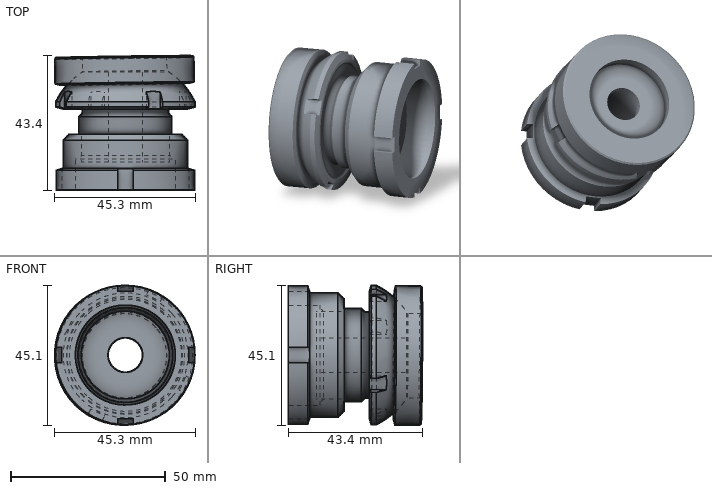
import cadquery as cq
import math


RIM_RADIUS = 22.47
NOTCH_WIDTH = 5.0
NOTCH_DEPTH = 2.0
NOTCH_COUNT = 4
THROUGH_HOLE_RADIUS = 5.55
BEVEL_HEIGHT = 0.7
BEVEL_WIDTH = 2.45

BASE_HEIGHT = 18.05
BASE_FLANGE_HEIGHT = 7.02
BARREL_RADIUS = 20.1
BARREL_CHAMFER = 2.05
COUNTERBORE_RADIUS = 16.15
COUNTERBORE_DEPTH = 10.15
BORE_RADIUS = 14.2
BORE_CHAMFER = 1.15

SPINDLE_START = 9.05
STEM_RADIUS = 15.05
STEM_CHAMFER_START = 23.6
NECK_RADIUS = 13.95
HEAD_START = 26.1
HEAD_RECESS_RADIUS = 19.05
HEAD_RECESS_DEPTH = 0.8
HEAD_RIM_END = 28.4
HEAD_TOP = 38.05
HEAD_NOTCH_END = 31.85
HEAD_NOTCH_ANGLE = 26.0
GROOVE_FILLET = 0.55

SPHERE_RADIUS = 25.0
SPHERE_CENTER = HEAD_RIM_END - math.sqrt(SPHERE_RADIUS**2 - RIM_RADIUS**2)

CAP_START = 34.1
CAP_THICKNESS = 8.93
CAP_HOLE_RADIUS = 13.6
CAP_TOP_CHAMFER = 0.5
CAP_BEVEL_HEIGHT = 0.45
CAP_BEVEL_WIDTH = 1.68
CAP_TILT_X = -0.35
CAP_TILT_Z = 0.8


def sphere_section_radius(y):
    """Radius of the spherical seat at station y."""
    return math.sqrt(SPHERE_RADIUS**2 - (y - SPHERE_CENTER) ** 2)


def spin(outline):
    """Revolve an outline of (radius, y) points about the Y axis."""
    return outline.close().revolve(360, (0, 0, 0), (0, 1, 0))


def cut_rim_notches(body, start, end, first_angle):
    """Cut equally spaced flat-bottomed notches into the rim between two stations."""
    floor_radius = RIM_RADIUS - NOTCH_DEPTH
    cutter_height = 2 * NOTCH_DEPTH
    for index in range(NOTCH_COUNT):
        cutter = (
            cq.Workplane("XY")
            .box(NOTCH_WIDTH, end - start, cutter_height, centered=(True, False, False))
            .translate((0, start, floor_radius))
            .rotate((0, 0, 0), (0, 1, 0), first_angle + index * 360 / NOTCH_COUNT)
        )
        body = body.cut(cutter)
    return body


def make_base():
    """Notched flange and barrel with a counterbored central hole."""
    outline = cq.Workplane("XY").polyline([
        (COUNTERBORE_RADIUS, 0),
        (RIM_RADIUS, 0),
        (RIM_RADIUS, BASE_FLANGE_HEIGHT - BEVEL_HEIGHT),
        (BARREL_RADIUS, BASE_FLANGE_HEIGHT),
        (BARREL_RADIUS, BASE_HEIGHT - BARREL_CHAMFER),
        (BARREL_RADIUS - BARREL_CHAMFER, BASE_HEIGHT),
        (BORE_RADIUS, BASE_HEIGHT),
        (BORE_RADIUS, COUNTERBORE_DEPTH + BORE_CHAMFER),
        (BORE_RADIUS + BORE_CHAMFER, COUNTERBORE_DEPTH),
        (COUNTERBORE_RADIUS, COUNTERBORE_DEPTH),
    ])
    return cut_rim_notches(spin(outline), 0, BASE_FLANGE_HEIGHT, 0)


def make_spindle():
    """Hollow stem seated on the base, with a necked, notched spherical head."""
    head_face = HEAD_START + HEAD_RECESS_DEPTH
    neck_start = STEM_CHAMFER_START + STEM_RADIUS - NECK_RADIUS
    blend_length = GROOVE_FILLET * math.tan(math.radians(45 / 2))
    blend_step = blend_length * math.sqrt(0.5)
    arc_middle = (HEAD_RIM_END + HEAD_TOP) / 2
    outline = (
        cq.Workplane("XY")
        .polyline([
            (THROUGH_HOLE_RADIUS, SPINDLE_START),
            (BORE_RADIUS, SPINDLE_START),
            (BORE_RADIUS, BASE_HEIGHT),
            (STEM_RADIUS, BASE_HEIGHT),
            (STEM_RADIUS, STEM_CHAMFER_START),
            (NECK_RADIUS + blend_step, neck_start - blend_step),
        ])
        .radiusArc((NECK_RADIUS, neck_start + blend_length), GROOVE_FILLET)
        .lineTo(NECK_RADIUS, head_face - GROOVE_FILLET)
        .radiusArc((NECK_RADIUS + GROOVE_FILLET, head_face), GROOVE_FILLET)
        .lineTo(HEAD_RECESS_RADIUS - GROOVE_FILLET, head_face)
        .radiusArc((HEAD_RECESS_RADIUS, head_face - GROOVE_FILLET), GROOVE_FILLET)
        .lineTo(HEAD_RECESS_RADIUS, HEAD_START)
        .lineTo(RIM_RADIUS - BEVEL_WIDTH, HEAD_START)
        .lineTo(RIM_RADIUS, HEAD_START + BEVEL_HEIGHT)
        .lineTo(RIM_RADIUS, HEAD_RIM_END)
        .threePointArc(
            (sphere_section_radius(arc_middle), arc_middle),
            (sphere_section_radius(HEAD_TOP), HEAD_TOP),
        )
        .lineTo(THROUGH_HOLE_RADIUS, HEAD_TOP)
    )
    return cut_rim_notches(spin(outline), HEAD_START, HEAD_NOTCH_END, HEAD_NOTCH_ANGLE)


def make_cap():
    """Ring with a concave spherical seat, tilted on the spindle head."""
    cap_end = CAP_START + CAP_THICKNESS
    seat_end = SPHERE_CENTER + math.sqrt(SPHERE_RADIUS**2 - CAP_HOLE_RADIUS**2)
    seat_middle = (CAP_START + seat_end) / 2
    outline = (
        cq.Workplane("XY")
        .polyline([
            (sphere_section_radius(CAP_START), CAP_START),
            (RIM_RADIUS - CAP_BEVEL_WIDTH, CAP_START),
            (RIM_RADIUS, CAP_START + CAP_BEVEL_HEIGHT),
            (RIM_RADIUS, cap_end - CAP_TOP_CHAMFER),
            (RIM_RADIUS - CAP_TOP_CHAMFER, cap_end),
            (CAP_HOLE_RADIUS, cap_end),
            (CAP_HOLE_RADIUS, seat_end),
        ])
        .threePointArc(
            (sphere_section_radius(seat_middle), seat_middle),
            (sphere_section_radius(CAP_START), CAP_START),
        )
    )
    pivot = (0, SPHERE_CENTER, 0)
    tilted = spin(outline).rotate(pivot, (1, SPHERE_CENTER, 0), CAP_TILT_X)
    return tilted.rotate(pivot, (0, SPHERE_CENTER, 1), CAP_TILT_Z)


base = make_base()
spindle = make_spindle()
cap = make_cap()

result = cq.Compound.makeCompound([base.val(), spindle.val(), cap.val()])